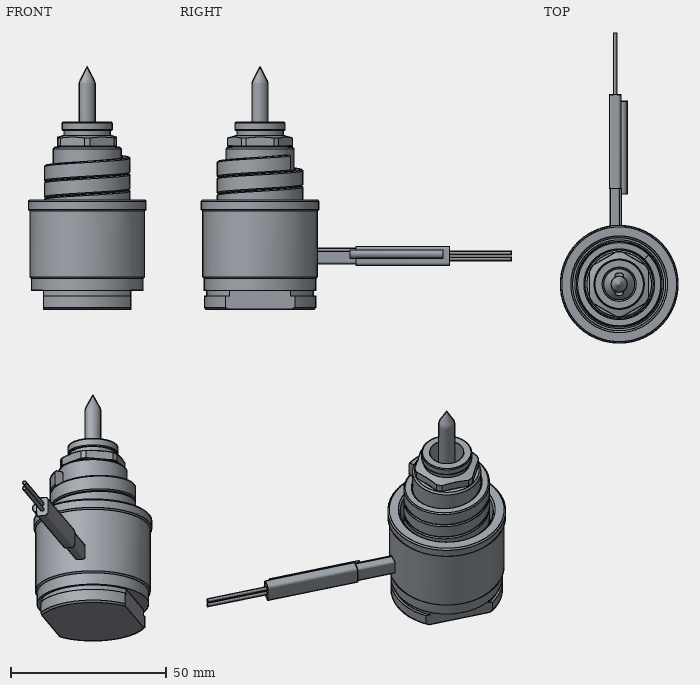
import cadquery as cq
import math

body_radius = 18.5
flange_radius = 19.0
foot_radius = 18.0
foot_groove_radius = 17.2
foot_groove_bottom = 4.3
foot_groove_top = 6.1
body_bottom = 10.0
flange_bottom = 32.2
flange_top = 35.3
flats_width = 28.2
foot_chamfer = 0.6
rim_chamfer = 0.5

well_radius = 15.0
well_depth = 10.0
well_chamfer = 0.6
seat_radius = 14.3
seat_height = 2.0

core_radius = 11.0
core_top = 52.3
core_chamfer = 0.6
coil_radius = 13.8
coil_inner_radius = 10.0
coil_pitch = 5.3
coil_gap = 0.1
coil_chamfer = 0.4
coil_turns = 5
coil_end_angle = 45
coil_end_top = 49.7

neck_radius = 9.0
hex_across_flats = 19.0
hex_corner_radius = 10.5
hex_bottom = 52.7
hex_shoulder = 55.2
groove_bottom = 56.1
groove_top = 57.6
groove_radius = 7.5
collar_radius = 8.1
collar_top = 60.3
collar_chamfer = 0.3

bore_radius = 5.5
bore_cone_radius = 5.0
bore_cone_bottom = 50.0
bore_cone_peak = 59.0
bore_wall_bottom = 50.8
dimple_radius = 1.4
dimple_offset = 3.0

pin_radius = 2.6
pin_shoulder = 72.8
point_radius = 2.4
point_bottom = 73.6
pin_tip = 78.2

cable_x = -1.3
cable_z = 17.2
cable_width = 3.2
cable_height = 5.2
cable_corner = 0.7
sleeve_width = 3.8
sleeve_height = 6.2
sleeve_corner = 0.9
sleeve_start = 30.9
sleeve_end = 61.1
wire_radius = 0.6
wire_spacing = 1.9
overall_length = 100.0
wire_end = overall_length - flange_radius
component_radius = 1.4
component_x = 1.2
component_z = 17.8
component_start = 29.0
component_end = 59.0
lead_radius = 0.5
lead_x = 0.3
lead_z = 19.1
cable_root = 16.0


def disc(radius, bottom, top):
    return cq.Workplane("XY").workplane(offset=bottom).circle(radius).extrude(top - bottom)


def revolved(points):
    """Solid of revolution about Z from an outline of (radius, height) points."""
    return cq.Workplane("XZ").polyline(points).close().revolve(360, (0, 0), (0, 1))


def plane_across(y):
    """Sketch plane at the given Y whose extrusions run toward +Y and whose local y is Z."""
    return cq.Workplane(cq.Plane(origin=(0, y, 0), xDir=(-1, 0, 0), normal=(0, 1, 0)))


def round_bar(x, z, radius, start, end):
    return plane_across(start).center(-x, z).circle(radius).extrude(end - start)


def flat_bar(width, height, corner, start, end):
    bar = plane_across(start).center(-cable_x, cable_z).rect(width, height).extrude(end - start)
    return bar.edges("|Y").fillet(corner)


def make_foot():
    foot = (
        disc(foot_radius, 0, foot_groove_bottom).faces("<Z").chamfer(foot_chamfer)
        .union(disc(foot_groove_radius, foot_groove_bottom, foot_groove_top))
    )
    slab = cq.Workplane("XY").box(
        flats_width, 2 * foot_radius, foot_groove_top, centered=(True, True, False)
    )
    return foot.intersect(slab)


def make_housing():
    step = body_radius - foot_radius
    lip = flange_radius - body_radius
    housing = revolved([
        (0, foot_groove_top),
        (foot_radius, foot_groove_top),
        (foot_radius, body_bottom),
        (body_radius, body_bottom + step),
        (body_radius, flange_bottom - lip),
        (flange_radius, flange_bottom),
        (flange_radius, flange_top - rim_chamfer),
        (flange_radius - rim_chamfer, flange_top),
        (0, flange_top),
    ])
    well_floor = flange_top - well_depth
    well = revolved([
        (0, well_floor),
        (well_radius, well_floor),
        (well_radius, flange_top - well_chamfer),
        (well_radius + well_chamfer, flange_top),
        (0, flange_top),
    ])
    seat = disc(seat_radius, well_floor, well_floor + seat_height)
    return housing.cut(well).union(seat)


def make_core():
    return disc(core_radius, flange_top - well_depth, core_top).faces(">Z").chamfer(core_chamfer)


def make_coil():
    """Flat strip with chamfered edges, wound right-handed around the core."""
    half = (coil_pitch - coil_gap) / 2
    path = cq.Wire.makeHelix(coil_pitch, coil_turns * coil_pitch, coil_inner_radius)
    profile = (
        cq.Workplane("XZ")
        .polyline([
            (coil_inner_radius, -half + coil_chamfer),
            (core_radius, -half + coil_chamfer),
            (core_radius + coil_chamfer, -half),
            (coil_radius - coil_chamfer, -half),
            (coil_radius, -half + coil_chamfer),
            (coil_radius, half - coil_chamfer),
            (coil_radius - coil_chamfer, half),
            (core_radius + coil_chamfer, half),
            (core_radius, half - coil_chamfer),
            (coil_inner_radius, half - coil_chamfer),
        ])
        .close()
    )
    coil = profile.sweep(cq.Workplane(path), isFrenet=True)
    coil_start = coil_end_top - half - coil_turns * coil_pitch
    return coil.rotate((0, 0, 0), (0, 0, 1), coil_end_angle).translate((0, 0, coil_start))


def make_hexagon():
    """Hexagon with corners toward +Y and -Y, turned round at its corners and coned on top."""
    corner_circle = hex_across_flats / math.cos(math.pi / 6)
    prism = (
        cq.Workplane("XY").workplane(offset=hex_bottom)
        .polygon(6, corner_circle).extrude(groove_bottom - hex_bottom)
        .rotate((0, 0, 0), (0, 0, 1), 30)
    )
    envelope = revolved([
        (0, hex_bottom),
        (hex_corner_radius, hex_bottom),
        (hex_corner_radius, hex_shoulder),
        (groove_radius, groove_bottom),
        (0, groove_bottom),
    ])
    return prism.intersect(envelope)


def make_gland():
    collar = disc(collar_radius, groove_top, collar_top).edges().chamfer(collar_chamfer)
    return (
        disc(neck_radius, core_top, hex_bottom)
        .union(make_hexagon())
        .union(disc(groove_radius, groove_bottom, groove_top))
        .union(collar)
    )


def make_bore():
    bore = revolved([
        (0, bore_cone_peak),
        (bore_cone_radius, bore_cone_bottom),
        (bore_radius, bore_wall_bottom),
        (bore_radius, collar_top),
        (0, collar_top),
    ])
    slope = (bore_cone_peak - bore_cone_bottom) / bore_cone_radius
    dimple_z = bore_cone_peak - slope * dimple_offset
    for side in (-1, 1):
        dimple = cq.Workplane("XY").sphere(dimple_radius)
        bore = bore.union(dimple.translate((0, side * dimple_offset, dimple_z)))
    return bore


def make_pin():
    return revolved([
        (0, bore_cone_bottom),
        (pin_radius, bore_cone_bottom),
        (pin_radius, pin_shoulder),
        (point_radius, point_bottom),
        (0, pin_tip),
    ])


def make_cable():
    cable = flat_bar(cable_width, cable_height, cable_corner, cable_root, sleeve_start)
    cable = cable.union(
        flat_bar(sleeve_width, sleeve_height, sleeve_corner, sleeve_start, sleeve_end)
    )
    for side in (-1, 1):
        wire_z = cable_z + side * wire_spacing / 2
        cable = cable.union(round_bar(cable_x, wire_z, wire_radius, sleeve_end, wire_end))
    component = round_bar(
        component_x, component_z, component_radius, component_start, component_end
    )
    lead = round_bar(lead_x, lead_z, lead_radius, cable_root, sleeve_start)
    return cable.union(component).union(lead)


result = (
    make_housing()
    .union(make_foot())
    .union(make_core())
    .union(make_coil())
    .union(make_gland())
    .cut(make_bore())
    .union(make_pin())
    .union(make_cable())
)